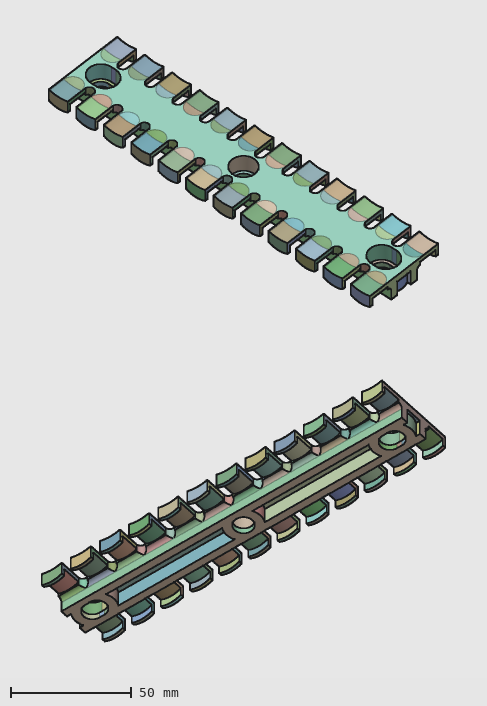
import cadquery as cq
import math

LENGTH = 180.0
WIDTH = 42.0
HEIGHT = 11.5

FINGER_COUNT = 12
SLOT_WIDTH = 4.7
FINGER_WIDTH = (LENGTH - (FINGER_COUNT - 1) * SLOT_WIDTH) / FINGER_COUNT
PITCH = FINGER_WIDTH + SLOT_WIDTH
LIP_THICKNESS = 1.6
LIP_DEPTH = 7.5
ARM_DEPTH = 3.8
BULGE = 1.3

RAIL_WIDTH = 15.8
COVE_RADIUS = 2.0
ROOT_DEPTH = 4.1

DISH_WIDTH = 9.7
DISH_DEPTH = 0.7
DISH_END_Y = 12.2
DISH_RADIUS = ((DISH_WIDTH / 2) ** 2 + DISH_DEPTH**2) / (2 * DISH_DEPTH)

END_HOLE_X = LENGTH / 2 - 11.3
BORE_DIAMETER = 9.4
COUNTERBORE_DIAMETER = 12.6
COUNTERBORE_DEPTH = 8.6
END_HOLE_STRETCH = 2.5

CHANNEL_WIDTH = 8.3
CHANNEL_TOP_DEPTH = 3.8
BOSS_DIAMETER = 18.0

FINGER_XS = [(i - (FINGER_COUNT - 1) / 2) * PITCH for i in range(FINGER_COUNT)]
SLOT_XS = [x + PITCH / 2 for x in FINGER_XS[:-1]]
HOLES = [(-END_HOLE_X, END_HOLE_STRETCH), (0, 0), (END_HOLE_X, END_HOLE_STRETCH)]


def make_rail():
    """Central rail with a quarter-round cove on each side below the finger roots."""
    half = RAIL_WIDTH / 2
    root = half + COVE_RADIUS
    cove_end = ROOT_DEPTH + COVE_RADIUS
    cove_inset = COVE_RADIUS * (1 - math.sqrt(0.5))
    return (
        cq.Workplane("YZ", origin=(-LENGTH / 2, 0, 0))
        .lineTo(root, 0)
        .lineTo(root, -ROOT_DEPTH)
        .threePointArc((half + cove_inset, -ROOT_DEPTH - cove_inset), (half, -cove_end))
        .lineTo(half, -HEIGHT)
        .lineTo(0, -HEIGHT)
        .mirrorY()
        .extrude(LENGTH)
    )


def rounded_bar(x, depth, y_far, length):
    """Bar one finger wide with a convex underside, running from y_far toward -Y."""
    half = FINGER_WIDTH / 2
    return (
        cq.Workplane("XZ", origin=(x, y_far, 0))
        .moveTo(-half, 0)
        .lineTo(half, 0)
        .lineTo(half, BULGE - depth)
        .threePointArc((0, -depth), (-half, BULGE - depth))
        .close()
        .extrude(length)
    )


def make_finger_pair(x):
    """Arm across the full width with a hanging lip at each tip."""
    arms = rounded_bar(x, ARM_DEPTH, WIDTH / 2, WIDTH)
    for y_far in (WIDTH / 2, LIP_THICKNESS - WIDTH / 2):
        arms = arms.union(rounded_bar(x, LIP_DEPTH, y_far, LIP_THICKNESS))
    return arms


def make_slot_pair(x):
    """Round-ended slots between neighbouring fingers, reaching in to the rail sides."""
    slots = cq.Workplane("XY")
    arc_y = RAIL_WIDTH / 2 + SLOT_WIDTH / 2
    for side in (-1, 1):
        slots = slots.union(
            cq.Workplane("XY")
            .center(x, side * (arc_y + WIDTH / 2))
            .slot2D(WIDTH + SLOT_WIDTH, SLOT_WIDTH, 90)
            .extrude(-HEIGHT)
        )
    return slots


def make_dish(x, side):
    """Cylindrical trough ending in a spherical run-out toward the middle."""
    centre_z = DISH_RADIUS - DISH_DEPTH
    trough = (
        cq.Workplane("XZ", origin=(x, side * DISH_END_Y, centre_z))
        .circle(DISH_RADIUS)
        .extrude(-side * (WIDTH / 2 - DISH_END_Y))
    )
    run_out = cq.Workplane("XY", origin=(x, side * DISH_END_Y, centre_z)).sphere(DISH_RADIUS)
    return trough, run_out


def hole_prism(x, diameter, stretch, top, bottom):
    """Round or, with a stretch, oblong prism between two heights."""
    plane = cq.Workplane("XY", origin=(x, 0, top))
    outline = plane.slot2D(diameter + stretch, diameter) if stretch else plane.circle(diameter / 2)
    return outline.extrude(bottom - top)


def make_channel():
    """Channel along the underside, left solid around each hole."""
    channel = cq.Workplane("XY", origin=(0, 0, -HEIGHT)).rect(LENGTH, CHANNEL_WIDTH)
    channel = channel.extrude(HEIGHT - CHANNEL_TOP_DEPTH)
    for x, stretch in HOLES:
        channel = channel.cut(hole_prism(x, BOSS_DIAMETER, stretch, 0, -HEIGHT))
    return channel


result = make_rail()
for x in FINGER_XS:
    result = result.union(make_finger_pair(x))
for x in SLOT_XS:
    result = result.cut(make_slot_pair(x))
result = result.cut(make_channel())
for x, stretch in HOLES:
    result = result.cut(hole_prism(x, COUNTERBORE_DIAMETER, stretch, 0, -COUNTERBORE_DEPTH))
    result = result.cut(hole_prism(x, BORE_DIAMETER, stretch, 0, -HEIGHT))
for x in FINGER_XS:
    for side in (-1, 1):
        trough, run_out = make_dish(x, side)
        result = result.cut(trough)
        result = result.cut(run_out)